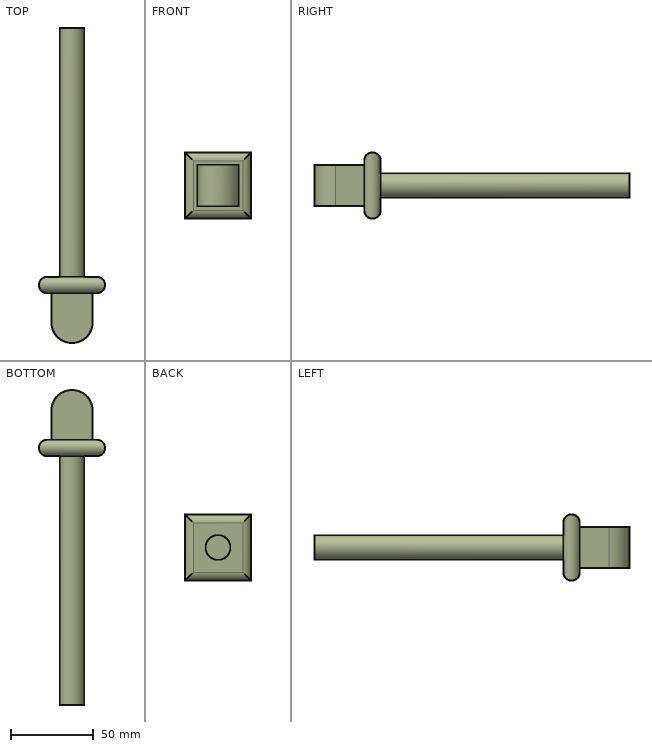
import cadquery as cq

collar_side = 40.0
collar_thickness = 10.0
head_side = 25.0
head_length = 30.0
shaft_diameter = 15.0
shaft_length = 150.0

rim_radius = collar_thickness / 2
core_side = collar_side - 2 * rim_radius
head_radius = head_side / 2
head_straight = head_length - head_radius



def half_round_slab(core_width):
    """Bar along Z whose two X sides are full half-rounds."""
    half = core_width / 2
    return (
        cq.Workplane("XY")
        .moveTo(-half, 0)
        .lineTo(half, 0)
        .threePointArc((half + rim_radius, rim_radius), (half, collar_thickness))
        .lineTo(-half, collar_thickness)
        .threePointArc((-half - rim_radius, rim_radius), (-half, 0))
        .close()
        .extrude(collar_side / 2, both=True)
    )


def make_collar():
    """Square collar with a half-round rim mitred at the corners."""
    upright = half_round_slab(core_side)
    level = upright.rotate((0, 0, 0), (0, 1, 0), 90)
    return upright.intersect(level)


def make_head():
    """Block of square section whose free end is a half cylinder about Z."""
    return (
        cq.Workplane("XY")
        .moveTo(head_radius, 0)
        .lineTo(head_radius, -head_straight)
        .threePointArc((0, -head_length), (-head_radius, -head_straight))
        .lineTo(-head_radius, 0)
        .close()
        .extrude(head_side / 2, both=True)
    )


def make_shaft():
    """Plain round shaft behind the collar."""
    return (
        cq.Workplane("XZ", origin=(0, collar_thickness, 0))
        .circle(shaft_diameter / 2)
        .extrude(-shaft_length)
    )


result = make_collar().union(make_head()).union(make_shaft())